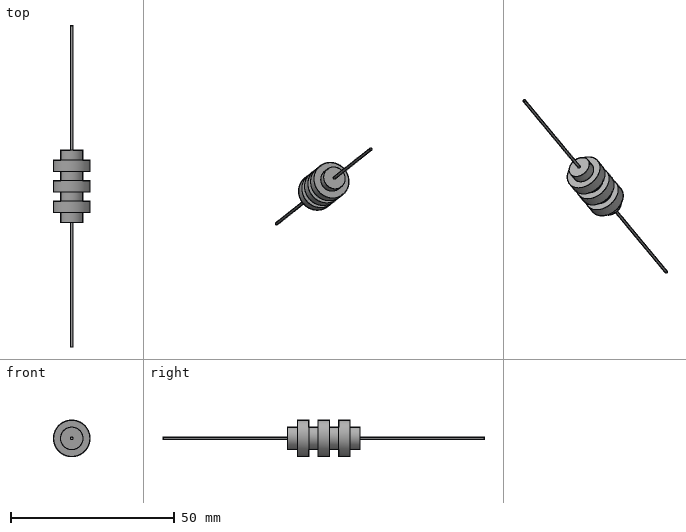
import cadquery as cq

lead_length = 98.4
lead_diameter = 0.8
core_length = 22.2
core_diameter = 6.9

disc_diameter = 11.2
disc_width = 3.5
disc_pitch = 6.3
disc_count = 3


def cylinder_along_y(diameter, length, center_y=0.0):
    """Solid cylinder on the Y axis, centred at center_y."""
    start = cq.Vector(0, center_y - length / 2, 0)
    return cq.Workplane(cq.Solid.makeCylinder(diameter / 2, length, start, cq.Vector(0, 1, 0)))


result = cylinder_along_y(core_diameter, core_length)
result = result.union(cylinder_along_y(lead_diameter, lead_length))

for index in range(disc_count):
    disc_y = (index - (disc_count - 1) / 2) * disc_pitch
    result = result.union(cylinder_along_y(disc_diameter, disc_width, disc_y))